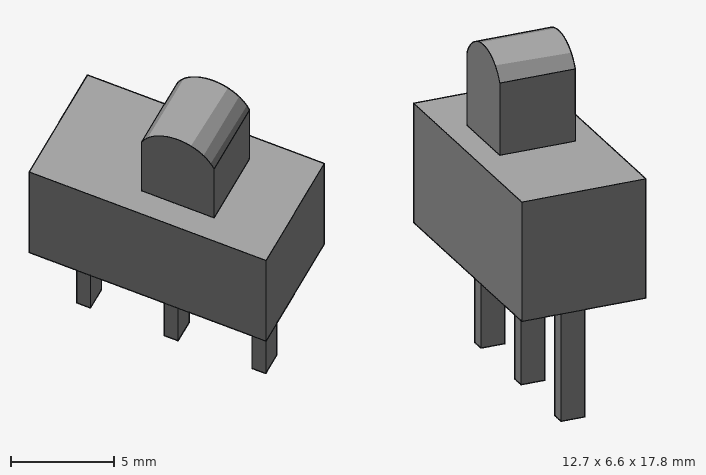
import cadquery as cq

body_length = 12.7
body_width = 6.6
body_height = 6.35

knob_length = 3.88
knob_width = 4.02
knob_height = 5.09
knob_crown_rise = 1.25
knob_offset = 1.01

pin_count = 3
pin_pitch = 4.7
pin_thickness = 0.75
pin_width = 1.26
pin_length = 6.35


def make_body():
    """Plain box standing on the XY plane."""
    return cq.Workplane("XY").box(body_length, body_width, body_height, centered=(True, True, False))


def make_knob():
    """Upright knob with an arched crown running along Y."""
    left = knob_offset - knob_length / 2
    right = knob_offset + knob_length / 2
    top = body_height + knob_height
    shoulder = top - knob_crown_rise
    return (
        cq.Workplane("XZ")
        .moveTo(left, body_height)
        .lineTo(right, body_height)
        .lineTo(right, shoulder)
        .threePointArc((knob_offset, top), (left, shoulder))
        .close()
        .extrude(knob_width / 2, both=True)
    )


def make_pins():
    """Row of rectangular pins hanging below the housing."""
    return (
        cq.Workplane("XY")
        .rarray(pin_pitch, 0.18, pin_count, 1)
        .rect(pin_thickness, pin_width)
        .extrude(-pin_length)
    )


result = make_body().union(make_knob()).union(make_pins())